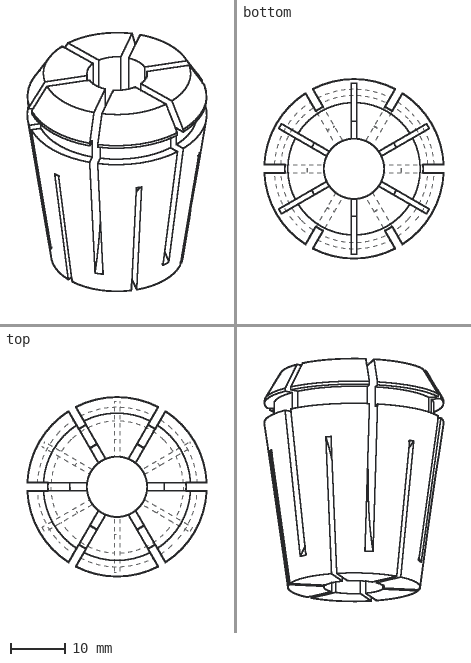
import cadquery as cq
import math

height = 40.0
bore_radius = 5.5
taper_angle = 8.0

face_radius = 13.5
lip_radius = 16.45
lip_top = 35.1
lip_bottom = 34.5

groove_radius = 14.7
groove_bottom = 30.9
taper_radius = 16.5

slots_per_end = 6
slot_pitch = 360.0 / slots_per_end
top_slot_width = 1.5
bottom_slot_width = 1.0
slot_reach = 18.0

crest_radius = 8.7
crest_slope = 10.0
crest_drop = crest_radius * math.tan(math.radians(crest_slope))

top_floor_outer_z = 4.0
top_floor_mid = (9.3, 11.8)
top_floor_crest_z = 20.2

bottom_roof_outer_z = 25.0
bottom_roof_mid = (11.7, 21.3)
bottom_roof_crest_z = 16.7


def taper_radius_at(z):
    """Outer radius of the taper at height z."""
    return taper_radius - (groove_bottom - z) * math.tan(math.radians(taper_angle))


def make_body():
    """Revolve the half section around Z."""
    return (
        cq.Workplane("XZ")
        .moveTo(bore_radius, 0)
        .lineTo(taper_radius_at(0), 0)
        .lineTo(taper_radius, groove_bottom)
        .lineTo(groove_radius, groove_bottom)
        .lineTo(groove_radius, lip_bottom)
        .lineTo(lip_radius, lip_bottom)
        .lineTo(lip_radius, lip_top)
        .lineTo(face_radius, height)
        .lineTo(bore_radius, height)
        .close()
        .revolve(360, (0, 0, 0), (0, 1, 0))
    )


def make_top_slot():
    """Slot open at the top: a curved floor climbs to a crest, then dips to the bore."""
    return (
        cq.Workplane("XZ")
        .moveTo(0, height)
        .lineTo(0, top_floor_crest_z - crest_drop)
        .lineTo(crest_radius, top_floor_crest_z)
        .threePointArc(top_floor_mid, (taper_radius_at(top_floor_outer_z), top_floor_outer_z))
        .lineTo(slot_reach, top_floor_outer_z)
        .lineTo(slot_reach, height)
        .close()
        .extrude(top_slot_width / 2, both=True)
    )


def make_bottom_slot():
    """Slot open at the bottom: a curved roof drops to a low point, then rises to the bore."""
    return (
        cq.Workplane("XZ")
        .lineTo(0, bottom_roof_crest_z + crest_drop)
        .lineTo(crest_radius, bottom_roof_crest_z)
        .threePointArc(bottom_roof_mid, (taper_radius_at(bottom_roof_outer_z), bottom_roof_outer_z))
        .lineTo(slot_reach, bottom_roof_outer_z)
        .lineTo(slot_reach, 0)
        .close()
        .extrude(bottom_slot_width / 2, both=True)
    )


result = make_body()
top_slot = make_top_slot()
bottom_slot = make_bottom_slot()
axis_start = (0, 0, 0)
axis_end = (0, 0, 1)
for index in range(slots_per_end):
    top_angle = index * slot_pitch
    bottom_angle = top_angle + slot_pitch / 2
    result = result.cut(top_slot.rotate(axis_start, axis_end, top_angle))
    result = result.cut(bottom_slot.rotate(axis_start, axis_end, bottom_angle))